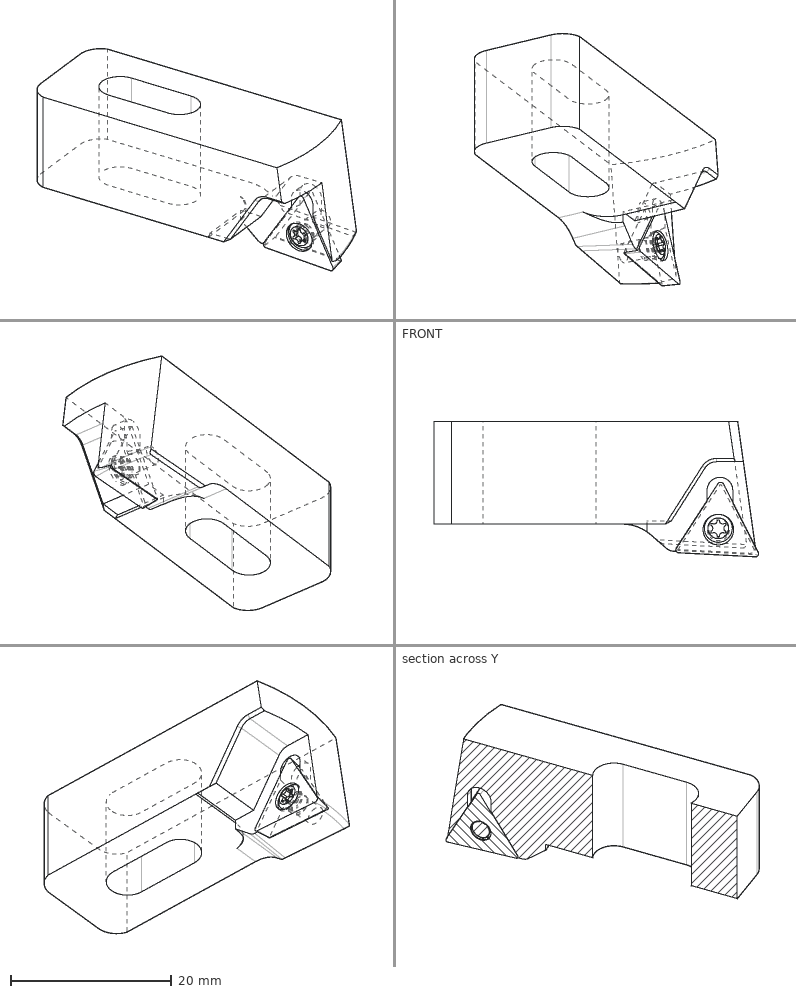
import cadquery as cq
import math

block_width = 15.0
block_height = 12.8
corner_radius = 3.0
corner_start_x = 2.2
far = 52.7
reach_below = 8.1

end_face_x = 37.95
end_face_radius = 25.15
end_face_tilt = 8.0
mid_y = block_width / 2

slot_start_x = 6.15
slot_length = 14.07
slot_width = 5.3

floor_y = 7.55
pocket_top_z = 8.2
pocket_corner_x = 28.9
pocket_wall_angle = 57.5
pocket_corner_radius = 2.05
pocket_chamfer = 0.4

insert_turn = 3.0
insert_inradius = 3.15
insert_corner_radius = 0.4
insert_thickness = 2.4
insert_relief = 7.0
insert_front_y = 7.18
insert_back_y = insert_front_y + insert_thickness
insert_x = 35.52
insert_z = -0.7

corner_slot_x = 35.72
corner_slot_width = 3.2
corner_slot_top_z = 5.85

nose_start_x = 23.48
nose_curve_radius = 5.5
nose_slope = 41.0
nose_bottom_gap = 0.12
nose_corner_radius = 1.2
nose_corner_point = (29.6, 11.35, -3.05)
nose_tip_radius = 0.6
nose_tip_point = (39.95, 10.95, -3.65)
nose_back_chamfer = 0.4
flank_x = 26.65
flank_radius = 4.05

screw_lift = 0.15
seat_radius = 1.9
seat_depth = 0.4
cone_angle = 30.0
shank_radius = 1.2
screw_end_y = 12.57
screw_z = insert_z + screw_lift
crown_radius = 1.3
head_radius = seat_radius - screw_lift
socket_radius = 1.05
socket_waist = 0.7
socket_depth = 0.8


def tan(degrees):
    return math.tan(math.radians(degrees))


def sin(degrees):
    return math.sin(math.radians(degrees))


def cos(degrees):
    return math.cos(math.radians(degrees))


def polar(radius, degrees):
    return (radius * cos(degrees), radius * sin(degrees))


def facing_front(x, y, z):
    """Workplane with local axes X and Z; a negative extrusion goes toward +Y."""
    return cq.Workplane("XZ", origin=(x, y, z))


def edge_near(point):
    return cq.selectors.NearestToPointSelector(point)


def turned_body(profile, x, z):
    """Revolve (radius, y) points about the axis along Y through x, z."""
    return (
        cq.Workplane("XY")
        .polyline(profile)
        .close()
        .revolve(360, (0, 0, 0), (0, 1, 0))
        .translate((x, 0, z))
    )


def insert_blank():
    """Triangle with rounded corners, narrowing toward its back face."""
    centre_distance = 2 * (insert_inradius - insert_corner_radius)
    centres = [polar(centre_distance, 90 + 120 * i - insert_turn) for i in range(3)]
    return (
        facing_front(insert_x, insert_front_y, insert_z)
        .polyline(centres)
        .close()
        .offset2D(insert_corner_radius)
        .extrude(-insert_thickness, taper=insert_relief)
    )


def make_insert():
    bore_radius = shank_radius + screw_lift
    cone_length = (seat_radius - bore_radius) / tan(cone_angle)
    seat_y = insert_front_y + seat_depth
    seat = [
        (0, insert_front_y),
        (seat_radius, insert_front_y),
        (seat_radius, seat_y),
        (bore_radius, seat_y + cone_length),
        (bore_radius, insert_back_y),
        (0, insert_back_y),
    ]
    return insert_blank().cut(turned_body(seat, insert_x, insert_z))


def screw_blank():
    """Screw with a sloping crown, a conical head underside and a plain shank."""
    cone_length = (head_radius - shank_radius) / tan(cone_angle)
    rim_y = insert_front_y + seat_depth
    profile = [
        (0, insert_front_y),
        (crown_radius, insert_front_y),
        (head_radius, rim_y),
        (shank_radius, rim_y + cone_length),
        (shank_radius, screw_end_y),
        (0, screw_end_y),
    ]
    return turned_body(profile, insert_x, screw_z)


def star_socket():
    """Six-lobed driver socket outlined by alternating convex and concave arcs."""
    lobes = 6
    step = 360 / lobes
    between = (socket_radius + socket_waist) / 2
    lobe_half = step / 6
    outline = facing_front(insert_x, insert_front_y, screw_z).moveTo(*polar(between, 90 - lobe_half))
    for i in range(lobes):
        tip = 90 + i * step
        outline = outline.threePointArc(polar(socket_radius, tip), polar(between, tip + lobe_half))
        outline = outline.threePointArc(
            polar(socket_waist, tip + step / 2), polar(between, tip + step - lobe_half)
        )
    return outline.close().extrude(-socket_depth)


def make_screw():
    return screw_blank().cut(star_socket())


def block():
    """Rectangular block with rounded corners at the clamped end and a through slot."""
    corner_centre_y = math.sqrt(corner_radius**2 - (corner_radius - corner_start_x) ** 2)
    body = (
        cq.Workplane("XY")
        .moveTo(0, corner_centre_y)
        .radiusArc((corner_start_x, 0), -corner_radius)
        .lineTo(far, 0)
        .lineTo(far, block_width)
        .lineTo(corner_start_x, block_width)
        .radiusArc((0, block_width - corner_centre_y), -corner_radius)
        .close()
        .extrude(block_height)
    )
    slot = (
        cq.Workplane("XY")
        .center(slot_start_x + slot_length / 2, mid_y)
        .slot2D(slot_length, slot_width)
        .extrude(block_height)
    )
    return body.cut(slot)


def pocket_outline(inset):
    """Pocket outline moved inward: a sloping wall, a rounded corner and a level top."""
    top_z = pocket_top_z - inset
    radius = pocket_corner_radius - inset
    tangent = radius * tan(pocket_wall_angle / 2)
    foot_x = pocket_corner_x + inset / sin(pocket_wall_angle)
    top_corner_x = foot_x + top_z / tan(pocket_wall_angle)
    return (
        facing_front(0, 0, 0)
        .moveTo(foot_x - reach_below / tan(pocket_wall_angle), -reach_below)
        .lineTo(top_corner_x - tangent * cos(pocket_wall_angle), top_z - tangent * sin(pocket_wall_angle))
        .radiusArc((top_corner_x + tangent, top_z), radius)
        .lineTo(far, top_z)
        .lineTo(far, -reach_below)
        .close()
    )


def pocket():
    """Front pocket with straight walls and a chamfered front edge."""
    walls = pocket_outline(pocket_chamfer).extrude(-floor_y)
    chamfer = pocket_outline(0).extrude(-pocket_chamfer, taper=45)
    return walls.union(chamfer)


def pocket_foot():
    """Chamfered step that lifts the block underside beside the nose flank."""
    step = [(0, 0), (pocket_chamfer, pocket_chamfer), (floor_y, pocket_chamfer), (floor_y, 0)]
    return (
        cq.Workplane("YZ", origin=(flank_x, 0, 0))
        .polyline(step)
        .close()
        .extrude(far - flank_x)
    )


def lower_limit():
    """Space below the nose: parallel to the relief face under the insert, a small gap above it."""
    size = 2 * far
    return (
        cq.Workplane("XY")
        .box(size, size, size, centered=(True, True, False))
        .translate((0, 0, -size))
        .rotate((0, 0, 0), (1, 0, 0), insert_relief)
        .translate((0, insert_front_y, nose_bottom_gap - insert_inradius))
        .rotate((0, 0, 0), (0, 1, 0), insert_turn)
        .translate((insert_x, 0, insert_z))
    )


def nose():
    """Support below the block that carries the insert."""
    curve_end_x = nose_start_x + nose_curve_radius * sin(nose_slope)
    curve_drop = nose_curve_radius * (1 - cos(nose_slope))
    slope_end_x = curve_end_x + (reach_below - curve_drop) / tan(nose_slope)
    body = (
        facing_front(0, floor_y, 0)
        .moveTo(nose_start_x, 0)
        .radiusArc((curve_end_x, -curve_drop), nose_curve_radius)
        .lineTo(slope_end_x, -reach_below)
        .lineTo(far, -reach_below)
        .lineTo(far, 0)
        .close()
        .extrude(floor_y - block_width)
        .cut(lower_limit())
    )
    body = body.faces(">Y").edges("<Z").chamfer(nose_back_chamfer)
    body = body.edges(edge_near(nose_corner_point)).fillet(nose_corner_radius)
    flank = (
        cq.Workplane("XY")
        .center(flank_x - flank_radius, floor_y)
        .circle(flank_radius)
        .extrude(-reach_below)
    )
    return body.cut(flank)


def end_cone():
    """Cone whose flank forms the convex end face; it widens downward."""
    height = block_height + reach_below
    bottom_radius = end_face_radius + height * tan(end_face_tilt)
    cone = cq.Workplane("XY").circle(bottom_radius).extrude(height, taper=end_face_tilt)
    return cone.translate((end_face_x - end_face_radius, mid_y, -reach_below))


def corner_slot():
    """Round-topped recess that clears the upper insert corner."""
    radius = corner_slot_width / 2
    return (
        facing_front(corner_slot_x, floor_y, corner_slot_top_z - radius)
        .moveTo(-radius, -2 * radius)
        .lineTo(-radius, 0)
        .threePointArc((0, radius), (radius, 0))
        .lineTo(radius, -2 * radius)
        .close()
        .extrude(floor_y - insert_back_y)
    )


def make_holder():
    body = block().cut(pocket()).cut(pocket_foot()).union(nose())
    body = body.intersect(end_cone())
    body = body.edges(edge_near(nose_tip_point)).fillet(nose_tip_radius)
    return body.cut(corner_slot()).cut(insert_blank()).cut(screw_blank())


holder = make_holder()
insert = make_insert()
screw = make_screw()

result = cq.Compound.makeCompound([holder.val(), insert.val(), screw.val()])